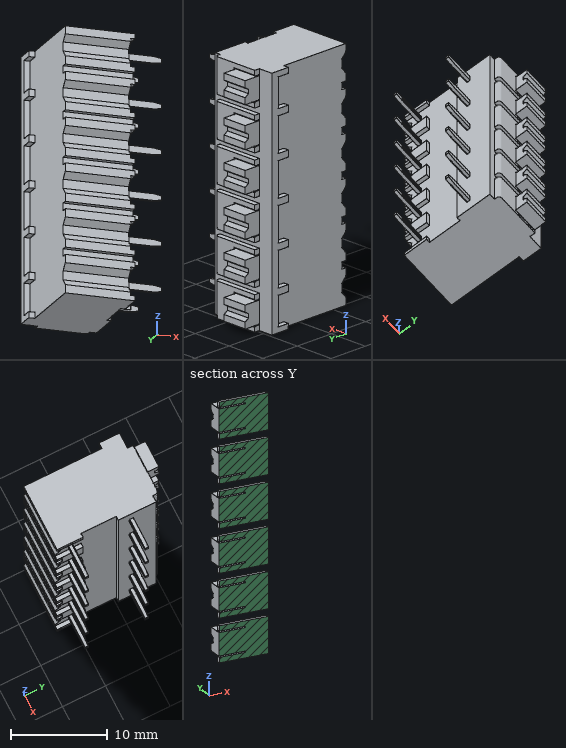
import cadquery as cq

POLES = 6
HEIGHT = 29.2
POLE_HEIGHT = 4.2
PITCH = (HEIGHT - POLE_HEIGHT) / (POLES - 1)
GAP = PITCH - POLE_HEIGHT

BACK_X = 0.67
FOOT_X = 8.4
HOUSING_DEPTH = 11.53
NOTCH_X = 7.95
NOTCH_START_Y = 3.05
NOTCH_END_Y = 7.12

FLANGE_START_Y = 10.55
TOOTH_START_Y = 9.1
END_TOOTH_HEIGHT = 0.67

BLOCK_START_X = 1.85
BLOCK_END_X = 7.65
BLOCK_TOP_Y = 12.2
BLOCK_ROUNDING = 0.4
KEY_START_X = 1.8
KEY_END_X = 4.9
KEY_TOP_Y = 13.65
KEY_HEIGHT = 2.7
KEY_CLEARANCE = 0.1
KEY_SLOT_FLARE = 0.12
KEY_GROOVE_OPENING = 1.1
KEY_GROOVE_FLOOR = 0.47
KEY_GROOVE_DEPTH = 0.5

GROOVE_DEPTH = 0.6
GROOVE_OPENING = 2.4
GROOVE_FLOOR = 1.0

RECESS_OPENING = 3.07
RECESS_END = 2.85

PIN_TIP_X = 11.9
PIN_TAPER_X = 11.05
PIN_HEIGHT = 0.75
PIN_TIP_HEIGHT = 0.47
PIN_THICKNESS = 0.4
PIN_FRONT_Y = 1.7
PIN_SPACING = 6.98
PIN_RIB_HEIGHT = 0.4
PIN_RIB_THICKNESS = 0.1
PIN_EMBEDDING = 0.3
PIN_ROOT_X = NOTCH_X - PIN_EMBEDDING


def box(x0, x1, y0, y1, z0, z1):
    """Box between opposite corners."""
    return cq.Workplane("XY").box(x1 - x0, y1 - y0, z1 - z0, centered=False).translate((x0, y0, z0))


def trapezoid_bar(y_wide, y_narrow, wide, narrow, x0, x1, z_mid):
    """Bar along X whose height changes from wide to narrow between two Y positions."""
    points = [
        (y_wide, z_mid - wide / 2),
        (y_narrow, z_mid - narrow / 2),
        (y_narrow, z_mid + narrow / 2),
        (y_wide, z_mid + wide / 2),
    ]
    return cq.Workplane("YZ").polyline(points).close().extrude(x1 - x0).translate((x0, 0, 0))


def housing():
    """Plain body with the notch between its two feet and the back flange."""
    body = box(BACK_X, FOOT_X, 0, HOUSING_DEPTH, 0, HEIGHT)
    body = body.cut(box(NOTCH_X, FOOT_X, NOTCH_START_Y, NOTCH_END_Y, 0, HEIGHT))
    return body.union(box(0, BACK_X, FLANGE_START_Y, HOUSING_DEPTH, 0, HEIGHT))


def tooth(z0, z1):
    """Tooth hanging from the back flange."""
    return box(0, BACK_X, TOOTH_START_Y, FLANGE_START_Y, z0, z1)


def raised_block(z_mid):
    """Low block with one rounded edge, and the grooved key standing in a flared slot of it."""
    z0 = z_mid - POLE_HEIGHT / 2
    block = box(BLOCK_START_X, BLOCK_END_X, HOUSING_DEPTH, BLOCK_TOP_Y, z0, z0 + POLE_HEIGHT)
    block = block.edges(">X and >Y").fillet(BLOCK_ROUNDING)
    slot_height = KEY_HEIGHT + 2 * KEY_CLEARANCE
    slot_z0 = z_mid - slot_height / 2
    slot = box(BLOCK_START_X, KEY_END_X, HOUSING_DEPTH, BLOCK_TOP_Y, slot_z0, slot_z0 + slot_height)
    flare = trapezoid_bar(
        BLOCK_TOP_Y, BLOCK_TOP_Y - KEY_SLOT_FLARE, slot_height + 2 * KEY_SLOT_FLARE, slot_height,
        BLOCK_START_X, KEY_END_X, z_mid,
    )
    block = block.cut(slot).cut(flare)
    key_z0 = z_mid - KEY_HEIGHT / 2
    key = box(KEY_START_X, KEY_END_X, HOUSING_DEPTH, KEY_TOP_Y, key_z0, key_z0 + KEY_HEIGHT)
    groove = trapezoid_bar(
        KEY_TOP_Y, KEY_TOP_Y - KEY_GROOVE_DEPTH, KEY_GROOVE_OPENING, KEY_GROOVE_FLOOR,
        KEY_START_X, KEY_END_X, z_mid,
    )
    return block.union(key.cut(groove))


def pin(y_mid, rib_side, z_mid):
    """Flat pin with a tapered tip and a thin rib on one side (+1 for +Y, -1 for -Y)."""
    half = PIN_HEIGHT / 2
    half_tip = PIN_TIP_HEIGHT / 2
    outline = [
        (PIN_ROOT_X, -half),
        (PIN_TAPER_X, -half),
        (PIN_TIP_X, -half_tip),
        (PIN_TIP_X, half_tip),
        (PIN_TAPER_X, half),
        (PIN_ROOT_X, half),
    ]
    blade = cq.Workplane("XZ").polyline(outline).close().extrude(PIN_THICKNESS / 2, both=True)
    rib = cq.Workplane("XY").box(
        PIN_TAPER_X - PIN_ROOT_X,
        PIN_THICKNESS / 2 + PIN_RIB_THICKNESS,
        PIN_RIB_HEIGHT,
        centered=(False, False, True),
    )
    rib = rib.translate((PIN_ROOT_X, 0, 0))
    if rib_side < 0:
        rib = rib.mirror("XZ")
    return blade.union(rib).translate((0, y_mid, z_mid))


result = housing()
result = result.union(tooth(0, END_TOOTH_HEIGHT))
result = result.union(tooth(HEIGHT - END_TOOTH_HEIGHT, HEIGHT))

for index in range(POLES - 1):
    gap_start = index * PITCH + POLE_HEIGHT
    result = result.union(tooth(gap_start, gap_start + GAP))
    result = result.cut(box(BACK_X, FOOT_X, 0, GROOVE_DEPTH, gap_start, gap_start + GAP))

for index in range(POLES):
    pole_mid = index * PITCH + POLE_HEIGHT / 2
    result = result.cut(
        trapezoid_bar(0, GROOVE_DEPTH, GROOVE_OPENING, GROOVE_FLOOR, BACK_X, FOOT_X, pole_mid)
    )
    result = result.cut(
        trapezoid_bar(0, NOTCH_START_Y, RECESS_OPENING, RECESS_END, NOTCH_X, FOOT_X, pole_mid)
    )
    result = result.union(raised_block(pole_mid))
    result = result.union(pin(PIN_FRONT_Y, 1, pole_mid))
    result = result.union(pin(PIN_FRONT_Y + PIN_SPACING, -1, pole_mid))